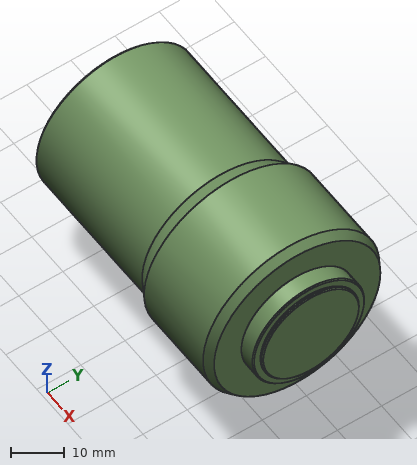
import cadquery as cq
import math

total_length = 63.2
body_diameter = 36.0
collar_diameter = 40.0
neck_diameter = 25.4
tip_diameter = 22.1

body_length = 34.4
collar_end = 58.8
neck_end = 62.55
end_chamfer = 0.3
neck_chamfer = 0.25
tip_chamfer = 0.25
cone_angle = 30.0
collar_chamfer_length = 1.95

body_radius = body_diameter / 2
collar_radius = collar_diameter / 2
neck_radius = neck_diameter / 2
tip_radius = tip_diameter / 2
cone_slope = math.tan(math.radians(cone_angle))
flare_length = (collar_radius - body_radius) / cone_slope
collar_chamfer_depth = collar_chamfer_length * cone_slope

half_section = [
    (0, 0),
    (0, body_radius - end_chamfer),
    (end_chamfer, body_radius),
    (body_length, body_radius),
    (body_length + flare_length, collar_radius),
    (collar_end - collar_chamfer_length, collar_radius),
    (collar_end, collar_radius - collar_chamfer_depth),
    (collar_end, neck_radius),
    (neck_end - neck_chamfer, neck_radius),
    (neck_end, neck_radius - neck_chamfer),
    (neck_end, tip_radius),
    (total_length - tip_chamfer, tip_radius),
    (total_length, tip_radius - tip_chamfer),
    (total_length, 0),
]

result = cq.Workplane("XY").polyline(half_section).close().revolve(360, (0, 0, 0), (1, 0, 0))